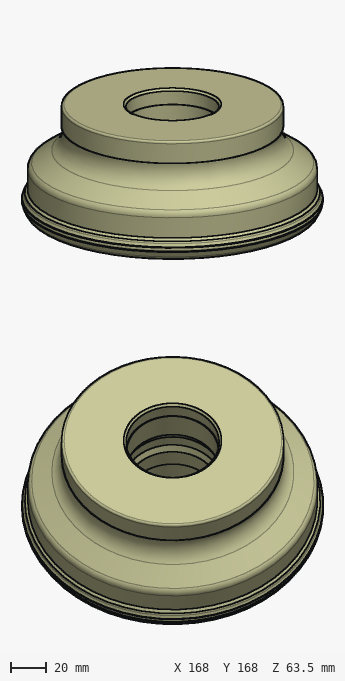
import cadquery as cq
import math

total_height = 63.5
rim_radius = 84.0
base_height = 13.1

hub_radius = 61.8
hub_bottom_z = 50.4
hub_edge_fillet = 1.3
waist_radius = 61.3
waist_z = 47.7
neck_arc_radius = 13.5
cone_angle = math.radians(33.5)
shoulder_radius = 4.7
skirt_radius = 80.7

bore_radius = 25.5
entry_radius = 25.9
entry_depth = 9.2
mouth_chamfer = 1.3
groove_radius = 27.2
groove_top_z = 38.5
groove_wall_top_z = 34.5
groove_wall_bottom_z = 27.7
groove_bottom_z = groove_wall_bottom_z - (groove_top_z - groove_wall_top_z)

lip_radius = 82.2
lip_z = 11.6
upper_band_radius = 82.7
upper_band_z = 10.6
land_radius = 83.7
upper_land_top_z = 8.7
upper_land_bottom_z = 8.2
lower_land_top_z = 6.2
lower_land_bottom_z = 5.7
lower_cone_angle = math.radians(25)
bottom_edge_radius = 4.5
bottom_face_radius = 78.1


def arc_point(center, radius, angle):
    """Point (r, z) on a circle at an angle measured from the outward direction."""
    return (center[0] + radius * math.cos(angle), center[1] + radius * math.sin(angle))


def revolve_profile(profile):
    """Turn a closed (r, z) profile once around the Z axis."""
    return profile.close().revolve(360, (0, 0, 0), (0, 1, 0))


def make_housing_blank():
    neck_center = (waist_radius + neck_arc_radius, waist_z)
    undercut_angle = math.pi - math.asin((hub_bottom_z - waist_z) / neck_arc_radius)
    flank_angle = 1.5 * math.pi - cone_angle
    neck_start = arc_point(neck_center, neck_arc_radius, undercut_angle)
    neck_middle = arc_point(neck_center, neck_arc_radius, (undercut_angle + flank_angle) / 2)
    flank_top = arc_point(neck_center, neck_arc_radius, flank_angle)

    shoulder_angle = math.pi / 2 - cone_angle
    shoulder_center_r = skirt_radius - shoulder_radius
    flank_bottom_r = shoulder_center_r + shoulder_radius * math.cos(shoulder_angle)
    flank_bottom_z = flank_top[1] - (flank_bottom_r - flank_top[0]) * math.tan(cone_angle)
    shoulder_center = (shoulder_center_r, flank_bottom_z - shoulder_radius * math.sin(shoulder_angle))
    shoulder_middle = arc_point(shoulder_center, shoulder_radius, shoulder_angle / 2)

    profile = (
        cq.Workplane("XZ")
        .moveTo(0, base_height)
        .lineTo(0, total_height)
        .lineTo(hub_radius, total_height)
        .lineTo(hub_radius, hub_bottom_z)
        .lineTo(*neck_start)
        .threePointArc(neck_middle, flank_top)
        .lineTo(flank_bottom_r, flank_bottom_z)
        .threePointArc(shoulder_middle, (skirt_radius, shoulder_center[1]))
        .lineTo(skirt_radius, base_height)
    )
    return revolve_profile(profile).faces(">Z").edges().fillet(hub_edge_fillet)


def make_bore_cutter():
    """Stepped through bore with a chamfered mouth and a groove with sloping sides."""
    entry_z = total_height - entry_depth
    profile = (
        cq.Workplane("XZ")
        .moveTo(0, 0)
        .lineTo(bore_radius, 0)
        .lineTo(bore_radius, groove_bottom_z)
        .lineTo(groove_radius, groove_wall_bottom_z)
        .lineTo(groove_radius, groove_wall_top_z)
        .lineTo(bore_radius, groove_top_z)
        .lineTo(bore_radius, entry_z)
        .lineTo(entry_radius, entry_z)
        .lineTo(entry_radius, total_height - mouth_chamfer)
        .lineTo(entry_radius + mouth_chamfer, total_height)
        .lineTo(0, total_height)
    )
    return revolve_profile(profile)


def make_base_ring():
    """Flat ring under the housing, with a beaded rim and a rounded lower edge."""
    bead_middle_z = (upper_land_bottom_z + lower_land_top_z) / 2

    edge_center = (bottom_face_radius, bottom_edge_radius)
    edge_top = arc_point(edge_center, bottom_edge_radius, -lower_cone_angle)
    edge_middle = arc_point(edge_center, bottom_edge_radius, -(math.pi / 2 + lower_cone_angle) / 2)

    profile = (
        cq.Workplane("XZ")
        .moveTo(bore_radius, base_height)
        .lineTo(skirt_radius, base_height)
        .lineTo(lip_radius, lip_z)
        .lineTo(upper_band_radius, upper_band_z)
        .lineTo(land_radius, upper_land_top_z)
        .lineTo(land_radius, upper_land_bottom_z)
        .threePointArc((rim_radius, bead_middle_z), (land_radius, lower_land_top_z))
        .lineTo(land_radius, lower_land_bottom_z)
        .lineTo(*edge_top)
        .threePointArc(edge_middle, (bottom_face_radius, 0))
        .lineTo(bore_radius, 0)
    )
    return revolve_profile(profile)


housing = make_housing_blank().cut(make_bore_cutter())
base_ring = make_base_ring()

result = cq.Compound.makeCompound([housing.val(), base_ring.val()])